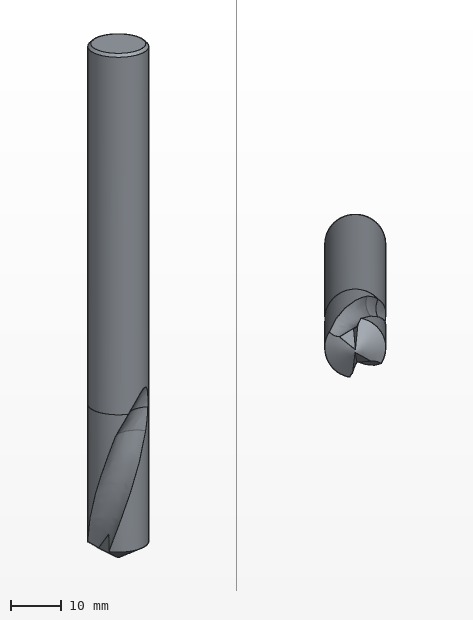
import math
import cadquery as cq

diameter = 12.0
overall_length = 108.0
cutting_length = 32.3
point_angle = 120.0
shank_chamfer = 0.6

flute_count = 2
flute_radius = 4.34
web_radius = 3.3
twist_end_height = 27.7
twist_rate = 3.36
twist_end_angle = 10.4
runout_length = 9.2
runout_turn = 31.6

lip_angle = -41.0
gash_start_radius = 0.3
gash_end_radius = 3.4
gash_end_angle = -53.0
gash_end_height = 6.0
gash_heel_radius = 4.05
gash_heel_angle = -99.0
gash_reach = 8.0

radius = diameter / 2
point_height = radius / math.tan(math.radians(point_angle / 2))
flute_offset = web_radius + flute_radius
clearance = 1.0


def polar_point(distance, angle, height):
    turn = math.radians(angle)
    return cq.Vector(distance * math.cos(turn), distance * math.sin(turn), height)


def cone_point(distance, angle):
    """Point on the conical drill tip."""
    return polar_point(distance, angle, distance * point_height / radius)


def revolve_about_axis(half_outline):
    return cq.Workplane("XZ").polyline(half_outline).close().revolve(360, (0, 0, 0), (0, 1, 0))


def make_cutting_blank():
    return revolve_about_axis([
        (0, 0),
        (radius, point_height),
        (radius, cutting_length),
        (0, cutting_length),
    ])


def make_shank_blank():
    return revolve_about_axis([
        (0, cutting_length),
        (radius, cutting_length),
        (radius, overall_length - shank_chamfer),
        (radius - shank_chamfer, overall_length),
        (0, overall_length),
    ])


def make_twisted_flute():
    height = twist_end_height + clearance
    twist = twist_rate * height
    flute = cq.Workplane("XY").moveTo(flute_offset, 0).circle(flute_radius).twistExtrude(height, twist)
    return flute.rotate((0, 0, 0), (0, 0, 1), twist_end_angle - twist).translate((0, 0, -clearance))


def make_flute_runout():
    """Slanted round prism whose floor rises until it leaves the drill surface."""
    start = polar_point(flute_offset, twist_end_angle, twist_end_height)
    end = polar_point(
        radius + flute_radius,
        twist_end_angle + runout_turn,
        twist_end_height + runout_length,
    )
    overrun = 1.5
    section = cq.Wire.makeCircle(flute_radius, start, cq.Vector(0, 0, 1))
    return cq.Workplane(cq.Solid.extrudeLinear(section, [], (end - start) * overrun))


def make_gash():
    """Triangular prism along the notch bottom, with one wall on the lip and one on the heel."""
    start = cone_point(gash_start_radius, lip_angle)
    end = polar_point(gash_end_radius, gash_end_angle, gash_end_height)
    along = (end - start).normalized()
    notch = cq.Plane(origin=start - along * clearance, xDir=cone_point(1, lip_angle), normal=along)
    heel = notch.toLocalCoords(cone_point(gash_heel_radius, gash_heel_angle))
    heel_scale = gash_reach / math.hypot(heel.x, heel.y)
    lip = notch.toLocalCoords(cone_point(radius, lip_angle))
    lip_scale = gash_reach / math.hypot(lip.x, lip.y)
    triangle = [
        (0, 0),
        (lip.x * lip_scale, lip.y * lip_scale),
        (heel.x * heel_scale, heel.y * heel_scale),
    ]
    length = (end - start).Length + 2 * clearance
    return cq.Workplane(notch).polyline(triangle).close().extrude(length)


twisted_flute = make_twisted_flute()
flute_runout = make_flute_runout()
gash = make_gash()

cutting_head = make_cutting_blank()
shank = make_shank_blank()
for index in range(flute_count):
    turn = 360 / flute_count * index
    runout = flute_runout.rotate((0, 0, 0), (0, 0, 1), turn)
    cutting_head = cutting_head.cut(twisted_flute.rotate((0, 0, 0), (0, 0, 1), turn))
    cutting_head = cutting_head.cut(runout)
    cutting_head = cutting_head.cut(gash.rotate((0, 0, 0), (0, 0, 1), turn))
    shank = shank.cut(runout)

result = cq.Compound.makeCompound([cutting_head.val(), shank.val()])